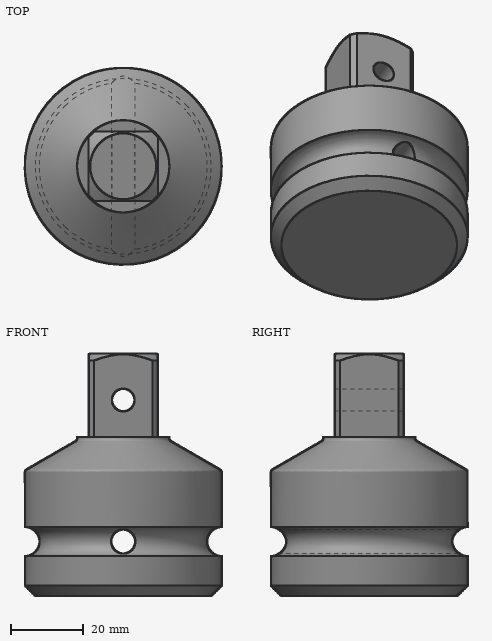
import cadquery as cq
import math

total_height = 66.5
body_radius = 27.0
base_chamfer = 2.9

shoulder_height = 34.45
shoulder_angle = 30.0
collar_radius = 12.65
collar_top = 43.6
blend_radius = 1.0

groove_height = 14.95
groove_radius = 4.0
groove_hole_diameter = 6.5

drive_width = 18.95
drive_corner_radius = 12.45
drive_tip_radius = 9.05
drive_tip_angle = 30.0
drive_hole_diameter = 6.1
drive_hole_depth_from_tip = 12.8


def make_body():
    """Revolved body with a chamfered base, ring groove, conical shoulder and collar."""
    cone_rise = (body_radius - collar_radius) * math.tan(math.radians(shoulder_angle))
    cone_top = shoulder_height + cone_rise
    profile = (
        cq.Workplane("XZ")
        .lineTo(body_radius - base_chamfer, 0)
        .lineTo(body_radius, base_chamfer)
        .lineTo(body_radius, groove_height - groove_radius)
        .threePointArc(
            (body_radius - groove_radius, groove_height),
            (body_radius, groove_height + groove_radius),
        )
        .lineTo(body_radius, shoulder_height)
        .lineTo(collar_radius, cone_top)
        .lineTo(collar_radius, collar_top)
        .lineTo(0, collar_top)
        .close()
    )
    body = profile.revolve(360, (0, 0, 0), (0, 1, 0))
    cone_ends = cq.selectors.BoxSelector(
        (-blend_radius, -blend_radius, shoulder_height - blend_radius),
        (blend_radius, blend_radius, cone_top + blend_radius / 2),
    )
    return body.edges(cone_ends).fillet(blend_radius)


def make_drive():
    """Square drive whose corners and tip are turned to a round, tapered envelope."""
    tip_taper = (drive_corner_radius - drive_tip_radius) * math.tan(math.radians(drive_tip_angle))
    drive_length = total_height - collar_top
    square = (
        cq.Workplane("XY", origin=(0, 0, collar_top))
        .rect(drive_width, drive_width)
        .extrude(drive_length)
    )
    envelope = (
        cq.Workplane("XZ")
        .moveTo(0, collar_top)
        .lineTo(drive_corner_radius, collar_top)
        .lineTo(drive_corner_radius, total_height - tip_taper)
        .lineTo(drive_tip_radius, total_height)
        .lineTo(0, total_height)
        .close()
        .revolve(360, (0, 0, 0), (0, 1, 0))
    )
    return square.intersect(envelope)


def make_cross_hole(height, diameter):
    """Cylinder along Y that passes through the whole part at the given height."""
    return cq.Workplane("XZ", origin=(0, 0, height)).circle(diameter / 2).extrude(body_radius, both=True)


result = make_body().union(make_drive())
result = result.cut(make_cross_hole(groove_height, groove_hole_diameter))
result = result.cut(make_cross_hole(total_height - drive_hole_depth_from_tip, drive_hole_diameter))